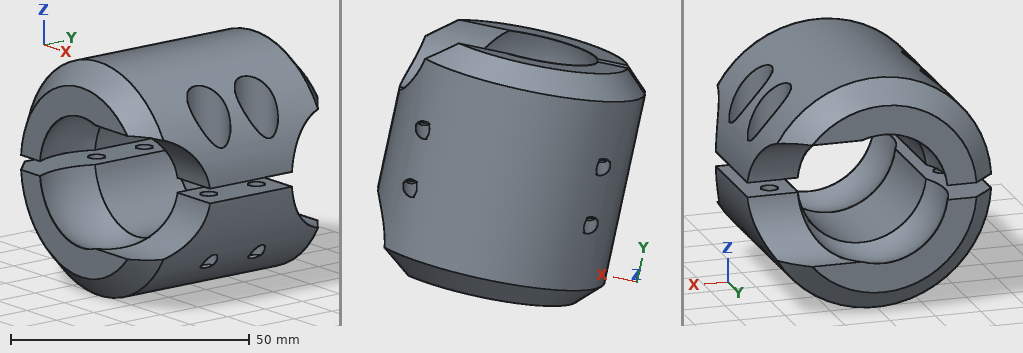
import cadquery as cq
import math

length = 50.8
outer_radius = 25.4
bore_radius = 14.2
end_chamfer = 4.8
split_gap = 3.2

socket_radius = 16.0
socket_offset = 18.0

slot_radius = 13.4
slot_center_offset = 24.3

screw_x = 19.05
screw_spacing = 12.7
head_diameter = 9.15
head_seat_z = 6.2
clearance_diameter = 5.6
pilot_diameter = 3.65
pilot_end_z = -17.5
drill_point_angle = 118.0

screw_points = [(x, y) for x in (-screw_x, screw_x) for y in (-screw_spacing / 2, screw_spacing / 2)]


def cylinder_along_z(diameter, bottom_z, top_z):
    """Upright cylinder centred on the Z axis."""
    return cq.Workplane("XY").workplane(offset=bottom_z).circle(diameter / 2).extrude(top_z - bottom_z)


def make_tube():
    """Chamfered outer cylinder with the plain bore."""
    body = cq.Workplane("XZ").circle(outer_radius).extrude(length / 2, both=True)
    body = body.faces("<Y or >Y").chamfer(end_chamfer)
    bore = cq.Workplane("XZ").circle(bore_radius).extrude(length / 2, both=True)
    return body.cut(bore)


def make_socket(end):
    """Sphere on the bore axis; end is -1 or 1 along Y."""
    return cq.Workplane("XY").sphere(socket_radius).translate((0, end * socket_offset, 0))


def make_side_slot(end):
    """Slot along +X with a half-round floor and straight walls out to the end face."""
    center_y = end * slot_center_offset
    open_y = end * length / 2
    floor_y = center_y - end * slot_radius
    return (
        cq.Workplane("YZ")
        .moveTo(open_y, -slot_radius)
        .lineTo(center_y, -slot_radius)
        .threePointArc((floor_y, 0), (center_y, slot_radius))
        .lineTo(open_y, slot_radius)
        .close()
        .extrude(outer_radius)
    )


def make_upper_screw_cutter():
    """Head counterbore above a clearance hole."""
    head = cylinder_along_z(head_diameter, head_seat_z, outer_radius)
    return head.union(cylinder_along_z(clearance_diameter, 0, outer_radius))


def make_lower_screw_cutter():
    """Blind pilot hole ending in a drill point."""
    radius = pilot_diameter / 2
    tip_z = pilot_end_z - radius / math.tan(math.radians(drill_point_angle / 2))
    profile = [(0, 0), (radius, 0), (radius, pilot_end_z), (0, tip_z)]
    return cq.Workplane("XZ").polyline(profile).close().revolve(360, (0, 0), (0, 1))


def make_half(clamp, side, screw_cutter):
    """One half of the clamp; side is 1 for the upper and -1 for the lower."""
    half_height = outer_radius - split_gap / 2
    middle_z = side * (outer_radius + split_gap / 2) / 2
    keep = cq.Workplane("XY").box(2 * outer_radius, length, half_height).translate((0, 0, middle_z))
    half = clamp.intersect(keep)
    for x, y in screw_points:
        half = half.cut(screw_cutter.translate((x, y, 0)))
    return half


clamp = make_tube()
for end in (-1, 1):
    clamp = clamp.cut(make_socket(end))
    clamp = clamp.cut(make_side_slot(end))

upper_half = make_half(clamp, 1, make_upper_screw_cutter())
lower_half = make_half(clamp, -1, make_lower_screw_cutter())

result = cq.Compound.makeCompound([upper_half.val(), lower_half.val()])